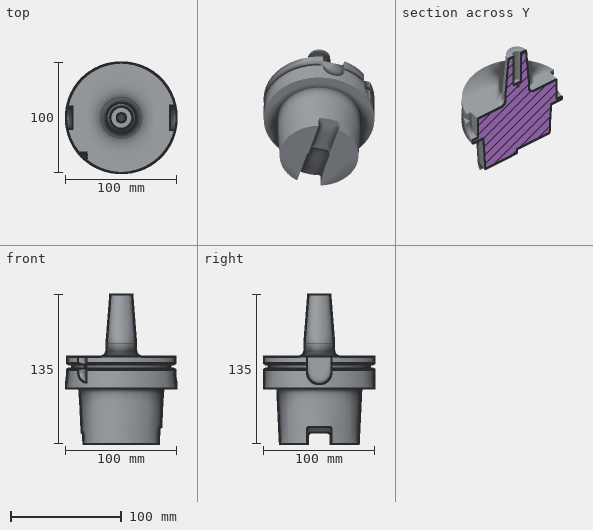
import cadquery as cq
import math


flange_radius = 50.0
flange_height = 29.0

groove_middle_z = 20.0
groove_floor_radius = 45.8
groove_floor_width = 3.75
groove_lip_depth = 2.1
groove_lip_angle = 30.0

shank_length = 50.0
shank_top_radius = 38.0
shank_end_radius = 35.6

nose_top_z = 85.0
nose_tip_radius = 10.0
nose_collar_radius = 13.5
nose_taper_angle = 4.5
nose_root_fillet = 5.0

bore_diameter = 8.2
bore_depth = 36.0

slot_floor_x = 44.0
slot_arc_center_z = 15.0
left_slot_width = 20.0
right_slot_width = 22.0

notch_floor_x = 31.4
notch_edge_y = -31.4
notch_width = 20.0

left_drive_width = 20.0
left_drive_depth = 10.2
right_drive_width = 22.0
right_drive_depth = 15.2
drive_corner_radius = 2.0


def make_body():
    """Shank, flange and nose turned from one profile."""
    nose_taper_rise = (nose_collar_radius - nose_tip_radius) / math.tan(math.radians(nose_taper_angle))
    collar_top_z = nose_top_z - nose_taper_rise
    root_radius = nose_collar_radius + nose_root_fillet
    root_top_z = flange_height + nose_root_fillet
    arc_offset = nose_root_fillet * math.sqrt(0.5)
    root_arc_middle = (root_radius - arc_offset, root_top_z - arc_offset)
    profile = (
        cq.Workplane("YZ")
        .moveTo(0, -shank_length)
        .lineTo(shank_end_radius, -shank_length)
        .lineTo(shank_top_radius, 0)
        .lineTo(flange_radius, 0)
        .lineTo(flange_radius, flange_height)
        .lineTo(root_radius, flange_height)
        .threePointArc(root_arc_middle, (nose_collar_radius, root_top_z))
        .lineTo(nose_collar_radius, collar_top_z)
        .lineTo(nose_tip_radius, nose_top_z)
        .lineTo(0, nose_top_z)
        .close()
    )
    return profile.revolve(360, (0, 0, 0), (0, 1, 0))


def make_groove():
    """Ring cutter for the gripper groove, flared at its mouth."""
    half_floor = groove_floor_width / 2
    half_mouth = half_floor + groove_lip_depth * math.tan(math.radians(groove_lip_angle))
    lip_radius = flange_radius - groove_lip_depth
    profile = (
        cq.Workplane("YZ")
        .moveTo(groove_floor_radius, groove_middle_z - half_floor)
        .lineTo(lip_radius, groove_middle_z - half_floor)
        .lineTo(flange_radius, groove_middle_z - half_mouth)
        .lineTo(flange_radius, groove_middle_z + half_mouth)
        .lineTo(lip_radius, groove_middle_z + half_floor)
        .lineTo(groove_floor_radius, groove_middle_z + half_floor)
        .close()
    )
    return profile.revolve(360, (0, 0, 0), (0, 1, 0))


def make_flange_slot(side, floor_x, center_y, width):
    """Cutter open upward and outward; side is -1 for -X and +1 for +X."""
    half_width = width / 2
    profile = (
        cq.Workplane("YZ", origin=(side * floor_x, 0, 0))
        .moveTo(center_y - half_width, flange_height)
        .lineTo(center_y - half_width, slot_arc_center_z)
        .threePointArc(
            (center_y, slot_arc_center_z - half_width),
            (center_y + half_width, slot_arc_center_z),
        )
        .lineTo(center_y + half_width, flange_height)
        .close()
    )
    return profile.extrude(side * flange_radius)


def make_drive_slot(side, width, depth):
    """Cutter from the axis outward through the end of the shank."""
    return (
        cq.Workplane("XY", origin=(side * flange_radius / 2, 0, -shank_length))
        .box(flange_radius, width, depth, centered=(True, True, False))
        .edges("|X and >Z")
        .fillet(drive_corner_radius)
    )


def make_bore():
    return (
        cq.Workplane("XY", origin=(0, 0, nose_top_z))
        .circle(bore_diameter / 2)
        .extrude(-bore_depth)
    )


notch_center_y = notch_edge_y - notch_width / 2

result = (
    make_body()
    .cut(make_groove())
    .cut(make_flange_slot(-1, slot_floor_x, 0, left_slot_width))
    .cut(make_flange_slot(1, slot_floor_x, 0, right_slot_width))
    .cut(make_flange_slot(-1, notch_floor_x, notch_center_y, notch_width))
    .cut(make_drive_slot(-1, left_drive_width, left_drive_depth))
    .cut(make_drive_slot(1, right_drive_width, right_drive_depth))
    .cut(make_bore())
)